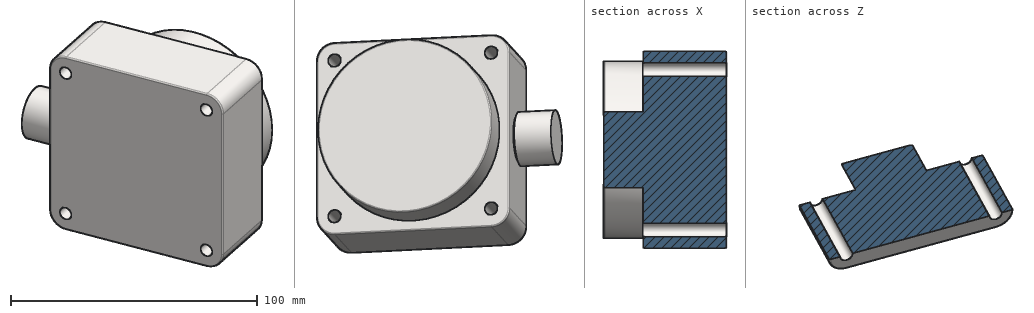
import cadquery as cq

overall_length = 96.0
overall_depth = 50.0
housing_side = 80.0
housing_depth = 34.0
corner_radius = 7.5
housing_edge_break = 0.6

hole_spacing = 65.0
hole_diameter = 5.3

cover_diameter = 72.0
cover_depth = overall_depth - housing_depth
cover_edge_break = 0.5

cap_diameter = 22.2
cap_length = 15.2
neck_diameter = 18.6
gland_length = overall_length - housing_side
neck_length = gland_length - cap_length


def make_housing():
    """Rounded square block with softened front and rear rims."""
    return (
        cq.Workplane("XZ")
        .rect(housing_side, housing_side)
        .extrude(-housing_depth)
        .edges("|Y")
        .fillet(corner_radius)
        .faces("<Y or >Y")
        .edges()
        .fillet(housing_edge_break)
    )


def make_cover():
    """Round cover with a softened outer rim."""
    return (
        cq.Workplane("XZ", origin=(0, housing_depth, 0))
        .circle(cover_diameter / 2)
        .extrude(-cover_depth)
        .faces(">Y")
        .edges()
        .fillet(cover_edge_break)
    )


def make_gland():
    """Neck and cap pointing along -X at mid depth of the housing."""
    side_plane = cq.Workplane("YZ", origin=(-housing_side / 2, housing_depth / 2, 0))
    neck = side_plane.circle(neck_diameter / 2).extrude(-neck_length)
    cap = (
        side_plane.workplane(offset=-neck_length)
        .circle(cap_diameter / 2)
        .extrude(-cap_length)
    )
    return neck.union(cap)


def make_mounting_holes():
    """Four cylinders running through the housing corners."""
    return (
        cq.Workplane("XZ")
        .rect(hole_spacing, hole_spacing, forConstruction=True)
        .vertices()
        .circle(hole_diameter / 2)
        .extrude(-housing_depth)
    )


housing = make_housing().cut(make_mounting_holes())
result = housing.union(make_cover()).union(make_gland())